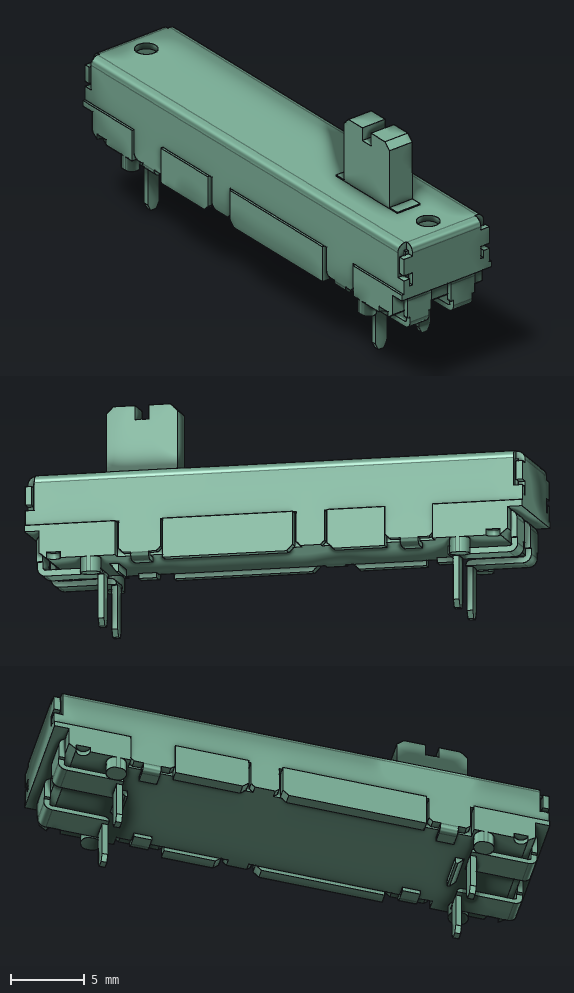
import cadquery as cq


length = 35.0
base_width = 7.8
cover_width = 7.45
half_length = length / 2
half_base = base_width / 2
half_cover = cover_width / 2

sheet = 0.45
bend_radius = 0.6
corner_setback = 0.648
inner_half_width = 3.22
side_wall_half_length = half_length - corner_setback
corner_floor_z = -2.52
end_bend_half_width = 2.98
end_ear_top_z = -0.85
end_ear_bottom_z = -2.15
end_plate_bottom_z = -3.08
hole_diameter = 1.6
hole_x = 15.47

base_shelf_z = -3.57
flange_bottom_z = -4.02
base_end_x = 16.5
floor_z = -5.95
panel_bottom_z = -6.3
end_chamfer_x = 0.52
end_chamfer_z = 0.42
panel_chamfer = 0.42
notch_radius = 0.5
notch_height = 0.42

front_gaps = [(-12.1, -8.95), (-3.78, -1.35), (8.8, 12.15)]
back_gaps = [(-11.2, -7.85), (-3.78, -1.35), (7.77, 11.13)]

tab_slit = 0.2
tab_chamfer = 0.28
outer_tab_bottom_z = -5.78
middle_tab_bottom_z = floor_z
tongue_width = 1.25
tongue_reach = 1.22
tongue_bend = 0.5

ridge_inner_x = 11.6
ridge_outer_x = 12.2
ridge_tip = 0.18
ridge_bottom_z = -6.5
ridge_width = 2.17

post_inner_x = 12.3
post_length = 1.4
post_width = 1.12
post_bottom_z = -7.0

lead_thickness = 0.42
lead_y = 1.9
lead_outer_x = base_end_x + lead_thickness
lead_foot_z = -6.93
lead_inner_bend = 0.18
lead_outer_bend = lead_inner_bend + lead_thickness
lead_root = 0.7
pin_bend = 0.4
strip_width = 2.05
foot_width = 1.65
strip_neck_z = floor_z
pin_width = 1.0
pin_inner_x = post_inner_x
pin_tip_z = -10.5
pin_tip_length = 0.52
pin_tip_width = 0.5

lever_x = 9.98
lever_length = 5.0
lever_width = 2.0
lever_height = 5.0
lever_chamfer = 0.5
slot_width = 0.95
slot_depth = 0.98
carrier_length = 6.72
carrier_height = 0.088


def block(x_range, y_range, z_range):
    """Box between the two limits given on each axis."""
    low = [min(limits) for limits in (x_range, y_range, z_range)]
    high = [max(limits) for limits in (x_range, y_range, z_range)]
    size = [top - bottom for top, bottom in zip(high, low)]
    return cq.Workplane("XY").box(*size, centered=False).translate(tuple(low))


def centred_block(half_x, half_y, z_range):
    return block((-half_x, half_x), (-half_y, half_y), z_range)


def prism_xz(points, y_range):
    """Outline in the XZ plane extruded between two Y limits."""
    low, high = min(y_range), max(y_range)
    outline = cq.Workplane("XZ", origin=(0, low, 0)).polyline(points).close()
    return outline.extrude(low - high)


def mirrored_x(shape):
    return shape.union(shape.mirror("YZ"))


def make_cover():
    """Cover and the mechanism it encloses, filled solid."""
    walls = centred_block(side_wall_half_length, half_cover, (base_shelf_z, 0))
    walls = walls.edges("|X and >Z").fillet(bend_radius)
    lower_heights = (base_shelf_z, corner_floor_z)
    lower_walls = centred_block(half_length, half_cover, lower_heights)
    lower_walls = lower_walls.cut(centred_block(half_length, inner_half_width, lower_heights))
    ends = centred_block(half_length, end_bend_half_width, (end_plate_bottom_z, 0))
    ends = ends.edges("|Y and >Z").fillet(bend_radius)
    mechanism = centred_block(half_length - sheet, inner_half_width, (base_shelf_z, -bend_radius))
    ear_heights = (end_ear_bottom_z, end_ear_top_z)
    ears = block((half_length - sheet, half_length), (-half_cover, half_cover), ear_heights)
    ears = mirrored_x(ears)
    holes = (
        cq.Workplane("XY")
        .pushPoints([(-hole_x, 0), (hole_x, 0)])
        .circle(hole_diameter / 2)
        .extrude(-sheet)
    )
    return walls.union(lower_walls).union(ends).union(mechanism).union(ears).cut(holes)


def panel_outline(left, right, chamfer_left, chamfer_right):
    """Points of an inner side panel, with the corners beside the middle opening cut off."""
    points = [(left, base_shelf_z), (right, base_shelf_z)]
    if chamfer_right:
        points += [(right, panel_bottom_z + panel_chamfer), (right - panel_chamfer, panel_bottom_z)]
    else:
        points.append((right, panel_bottom_z))
    if chamfer_left:
        points += [(left + panel_chamfer, panel_bottom_z), (left, panel_bottom_z + panel_chamfer)]
    else:
        points.append((left, panel_bottom_z))
    return points


def make_base():
    """Floor block, its end flanges and the thick panels along both sides."""
    end_points = [
        (half_length, base_shelf_z),
        (half_length, flange_bottom_z),
        (base_end_x, flange_bottom_z),
        (base_end_x, floor_z + end_chamfer_z),
        (base_end_x - end_chamfer_x, floor_z),
    ]
    outline = end_points + [(-x, z) for x, z in reversed(end_points)]
    base = prism_xz(outline, (-half_base, half_base))
    raised_block = centred_block(half_length, inner_half_width, (base_shelf_z, end_plate_bottom_z))
    base = base.union(raised_block)
    for side, gaps in ((-1, front_gaps), (1, back_gaps)):
        y_range = (side * inner_half_width, side * half_base)
        left_gap, middle_gap, right_gap = gaps
        base = base.cut(block((left_gap[0], right_gap[1]), y_range, (floor_z, base_shelf_z)))
        left_panel = panel_outline(left_gap[1], middle_gap[0], False, True)
        right_panel = panel_outline(middle_gap[1], right_gap[0], True, False)
        base = base.union(prism_xz(left_panel, y_range)).union(prism_xz(right_panel, y_range))
    notches = (
        cq.Workplane("XY", origin=(0, 0, floor_z))
        .pushPoints([(x, y) for x in (-hole_x, hole_x) for y in (-half_base, half_base)])
        .circle(notch_radius)
        .extrude(notch_height)
    )
    return base.cut(notches)


def make_tab(left, right, bottom_z, side):
    """Flat cover tab with its two lower corners cut off."""
    points = [
        (left, base_shelf_z),
        (left, bottom_z + tab_chamfer),
        (left + tab_chamfer, bottom_z),
        (right - tab_chamfer, bottom_z),
        (right, bottom_z + tab_chamfer),
        (right, base_shelf_z),
    ]
    return prism_xz(points, (side * inner_half_width, side * half_cover))


def make_tongue(centre_x, side):
    """Narrow end of a tab, bent inward under the floor."""
    tongue = block(
        (centre_x - tongue_width / 2, centre_x + tongue_width / 2),
        (side * half_cover, side * (half_cover - tongue_reach)),
        (panel_bottom_z, outer_tab_bottom_z),
    )
    outer_edge = "<Y" if side < 0 else ">Y"
    return tongue.faces(outer_edge).edges("<Z").fillet(tongue_bend)


def make_tabs():
    tabs = cq.Workplane("XY")
    for side, gaps in ((-1, front_gaps), (1, back_gaps)):
        left_gap, middle_gap, right_gap = gaps
        tabs = tabs.union(make_tab(*left_gap, outer_tab_bottom_z, side))
        for gap, bottom_z in ((middle_gap, middle_tab_bottom_z), (right_gap, outer_tab_bottom_z)):
            tabs = tabs.union(make_tab(gap[0] + tab_slit, gap[1] - tab_slit, bottom_z, side))
        for left, right in (left_gap, right_gap):
            tabs = tabs.union(make_tongue((left + right) / 2, side))
    return tabs


def make_ridges():
    """Wedge-shaped snap ridges across the underside of the floor."""
    points = [
        (ridge_inner_x, floor_z),
        (ridge_inner_x, ridge_bottom_z),
        (ridge_inner_x + ridge_tip, ridge_bottom_z),
        (ridge_outer_x, floor_z),
    ]
    return mirrored_x(prism_xz(points, (-ridge_width / 2, ridge_width / 2)))


def make_posts():
    centre_x = post_inner_x + post_length / 2
    centre_y = half_base - post_width / 2
    return (
        cq.Workplane("XY", origin=(0, 0, post_bottom_z))
        .pushPoints([(x, y) for x in (-centre_x, centre_x) for y in (-centre_y, centre_y)])
        .slot2D(post_length, post_width)
        .extrude(floor_z - post_bottom_z)
    )


def make_lead():
    """Lead at the +X end: down the end face, back under the floor, then down as a pin."""
    lead_root_z = flange_bottom_z - lead_root
    foot_top_z = lead_foot_z + lead_thickness
    upright_x = (base_end_x, lead_outer_x)
    strip_y = (-strip_width / 2, strip_width / 2)
    foot_y = (-foot_width / 2, foot_width / 2)
    strip = block((base_end_x - lead_root, lead_outer_x), strip_y, (lead_root_z, flange_bottom_z))
    strip = strip.edges("|Y and >X and >Z").fillet(lead_outer_bend)
    strip = strip.union(block(upright_x, strip_y, (strip_neck_z, lead_root_z)))
    neck = block(upright_x, foot_y, (lead_foot_z, strip_neck_z))
    foot = block((pin_inner_x, lead_outer_x), foot_y, (lead_foot_z, foot_top_z))
    foot = foot.edges("|Y and <X and >Z").fillet(pin_bend)
    bent = neck.union(foot)
    bent = bent.edges("|Y and >X and <Z").fillet(lead_outer_bend)
    inner_corner = cq.selectors.NearestToPointSelector((base_end_x, 0, foot_top_z))
    bent = bent.edges("|Y").edges(inner_corner).fillet(lead_inner_bend)
    shoulder_z = pin_tip_z + pin_tip_length
    half_pin = [
        (pin_width / 2, lead_foot_z),
        (pin_width / 2, shoulder_z),
        (pin_tip_width / 2, pin_tip_z),
    ]
    outline = half_pin + [(-y, z) for y, z in reversed(half_pin)]
    pin = cq.Workplane("YZ", origin=(pin_inner_x, 0, 0)).polyline(outline).close()
    pin = pin.extrude(lead_thickness)
    return strip.union(bent).union(pin)


def make_leads():
    lead = make_lead()
    pair = lead.translate((0, lead_y, 0)).union(lead.translate((0, -lead_y, 0)))
    return mirrored_x(pair)


def make_lever():
    """Slotted lever standing on the carrier that shows above the cover."""
    half_lever = lever_width / 2
    lever = centred_block(lever_length / 2, half_lever, (0, lever_height))
    lever = lever.edges("|Y and >Z").chamfer(lever_chamfer)
    slot = centred_block(slot_width / 2, half_lever, (lever_height - slot_depth, lever_height))
    carrier = centred_block(carrier_length / 2, half_lever, (0, carrier_height))
    return lever.cut(slot).union(carrier).translate((lever_x, 0, 0))


result = make_cover()
for piece in (make_base(), make_tabs(), make_ridges(), make_posts(), make_leads(), make_lever()):
    result = result.union(piece)